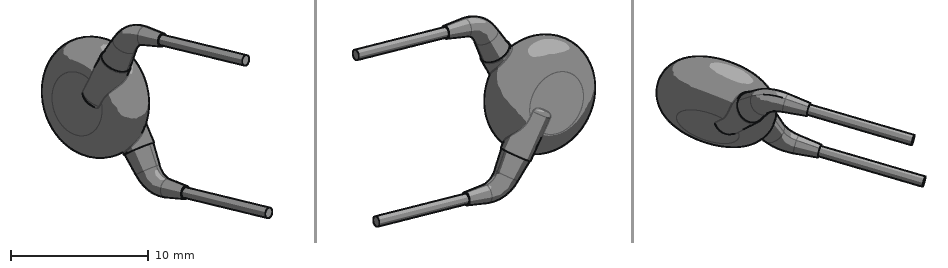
import cadquery as cq
import math

body_diameter = 9.0
body_thickness = 4.2
rim_radius = body_thickness / 2
flat_radius = body_diameter / 2 - rim_radius

lead_diameter = 0.8
lead_offset_y = 1.3
lead_height = 6.1
lead_start_x = 7.5
lead_end_x = 20.0 - body_diameter / 2

ferrule_diameter = 2.4
ferrule_angle = 60.0
ferrule_length = 3.85
ferrule_end_round = 0.4
ferrule_rim_round = 0.05
seam_round = 0.05
ferrule_top_x = 3.08
ferrule_top_z = 3.65

sleeve_root_diameter = ferrule_diameter - 2 * ferrule_rim_round
sleeve_tip_diameter = 1.0
bend_tangent = 1.2

tolerance = 0.0002

slope = math.radians(ferrule_angle)
axis = cq.Vector(math.cos(slope), 0, math.sin(slope))
lead_direction = cq.Vector(1, 0, 0)
ferrule_top = cq.Vector(ferrule_top_x, -lead_offset_y, ferrule_top_z)
sleeve_tip = cq.Vector(lead_start_x, -lead_offset_y, lead_height)


def make_body():
    profile = (
        cq.Workplane("XY")
        .moveTo(0, -rim_radius)
        .lineTo(flat_radius, -rim_radius)
        .threePointArc((body_diameter / 2, 0), (flat_radius, rim_radius))
        .lineTo(0, rim_radius)
        .close()
    )
    return profile.revolve(360, (0, 0, 0), (0, 1, 0))


def make_ferrule():
    base = ferrule_top - axis * ferrule_length
    plane = cq.Plane(origin=base, xDir=(0, 1, 0), normal=axis)
    ferrule = cq.Workplane(plane).circle(ferrule_diameter / 2).extrude(ferrule_length)
    ferrule = ferrule.faces("<Z").edges().fillet(ferrule_end_round)
    return ferrule.faces(">Z").edges().fillet(ferrule_rim_round)


def make_sleeve():
    """Sweep a shrinking circle up the ferrule axis, round the bend and along to the lead."""
    rise = lead_height - ferrule_top_z
    corner = ferrule_top + axis * (rise / axis.z)
    half_angle = math.radians(ferrule_angle / 2)
    bend_radius = bend_tangent / math.tan(half_angle)
    bend_start = corner - axis * bend_tangent
    bend_end = corner + lead_direction * bend_tangent
    bend_centre = bend_end - cq.Vector(0, 0, bend_radius)
    outward = cq.Vector(-math.sin(half_angle), 0, math.cos(half_angle))
    bend_middle = bend_centre + outward * bend_radius
    path = cq.Wire.assembleEdges([
        cq.Edge.makeLine(ferrule_top, bend_start),
        cq.Edge.makeThreePointArc(bend_start, bend_middle, bend_end),
        cq.Edge.makeLine(bend_end, sleeve_tip),
    ])
    root = cq.Wire.makeCircle(sleeve_root_diameter / 2, ferrule_top, axis)
    tip = cq.Wire.makeCircle(sleeve_tip_diameter / 2, sleeve_tip, lead_direction)
    return cq.Workplane(cq.Solid.sweep_multi([root, tip], path, True, True))


def make_lead():
    plane = cq.Plane(origin=sleeve_tip, xDir=(0, 1, 0), normal=lead_direction)
    return cq.Workplane(plane).circle(lead_diameter / 2).extrude(lead_end_x - lead_start_x)


def turn_to_rear(part):
    return part.rotate((0, 0, 0), (1, 0, 0), 180)


def is_seam_edge(edge):
    """Tell whether an edge lies where a ferrule meets the body."""
    on_flat_face = abs(abs(edge.Center().y) - rim_radius) < tolerance
    is_face_outline = edge.geomType() == "CIRCLE" and abs(edge.radius() - flat_radius) < tolerance
    crosses_rim = edge.geomType() == "BSPLINE"
    return crosses_rim or (on_flat_face and not is_face_outline)


def round_seams(part):
    return part.edges().filter(is_seam_edge).fillet(seam_round)


ferrule = make_ferrule()
head = round_seams(make_body().union(ferrule).union(turn_to_rear(ferrule)))
cable = make_sleeve().union(make_lead())
result = head.union(cable).union(turn_to_rear(cable))